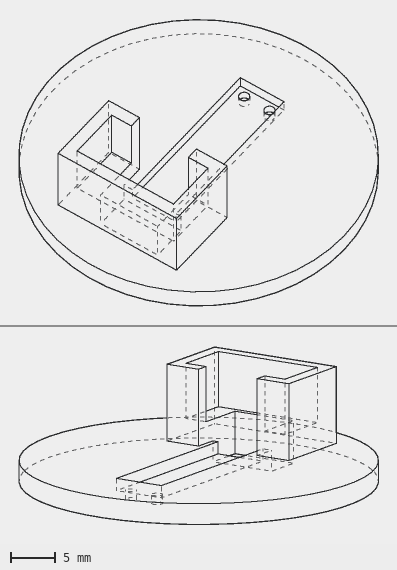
import cadquery as cq

disc_diameter = 40
disc_thickness = 2.4

holder_height = 8.8
holder_width = 16.3
holder_depth = 9.55
holder_center_x = -0.25
holder_front_y = -15.05
wall = 1.5
ledge_height = 2.5
opening_width = 7.85

window_width = opening_width
window_front_y = -12.8
window_back_y = -8.35

channel_width = 6
channel_depth = 1.4
channel_back_y = 12

hole_diameter = 1.25
hole_spacing = 3.5
hole_edge_distance = 1.0
hole_y = channel_back_y - hole_edge_distance


def block(width, front_y, back_y, bottom_z, top_z, center_x=0):
    """Box given by its width about center_x and its limits in Y and Z."""
    return (
        cq.Workplane("XY")
        .box(width, back_y - front_y, top_z - bottom_z, centered=(True, False, False))
        .translate((center_x, front_y, bottom_z))
    )


def make_holder():
    top_z = disc_thickness + holder_height
    back_y = holder_front_y + holder_depth
    inner_front_y = holder_front_y + wall
    inner_back_y = back_y - wall
    outer = block(holder_width, holder_front_y, back_y, disc_thickness, top_z, holder_center_x)
    cavity = block(
        holder_width - 2 * wall,
        inner_front_y,
        inner_back_y,
        disc_thickness + ledge_height,
        top_z,
        holder_center_x,
    )
    opening = block(opening_width, window_front_y, back_y, disc_thickness, top_z, holder_center_x)
    return outer.cut(cavity).cut(opening)


disc = cq.Workplane("XY").circle(disc_diameter / 2).extrude(disc_thickness)
window = block(window_width, window_front_y, window_back_y, 0, disc_thickness, holder_center_x)
channel = block(
    channel_width, window_back_y, channel_back_y, disc_thickness - channel_depth, disc_thickness
)
holes = (
    cq.Workplane("XY")
    .pushPoints([(-hole_spacing / 2, hole_y), (hole_spacing / 2, hole_y)])
    .circle(hole_diameter / 2)
    .extrude(disc_thickness)
)

result = disc.union(make_holder()).cut(window).cut(channel).cut(holes)